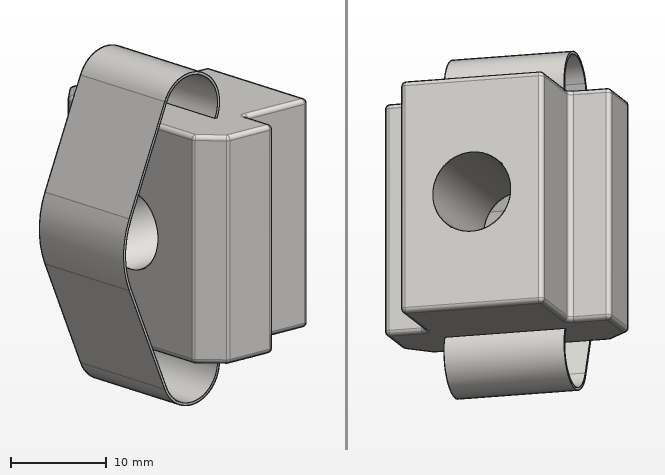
import cadquery as cq
import math

BLOCK_HEIGHT = 24.85
HEAD_WIDTH = 24.7
STEM_WIDTH = 15.55
BLOCK_DEPTH = 17.92
STEM_DEPTH = 9.0
CHAMFER = 2.6
EDGE_RADIUS = 0.5
HOLE_DIAMETER = 8.5

SPRING_HEIGHT = 36.2
SPRING_WIDTH = 13.1
STRIP_THICKNESS = 0.3
NOSE_RADIUS = 10.0
LOOP_RADIUS = 4.02
NOSE_REACH = 6.9
LOOP_SETBACK = 2.57
LOOP_END_ANGLE = math.radians(210)

nose_y = NOSE_RADIUS - NOSE_REACH
loop_y = LOOP_SETBACK
loop_z = SPRING_HEIGHT / 2 - LOOP_RADIUS

centre_distance = math.hypot(nose_y - loop_y, loop_z)
centre_angle = math.atan2(loop_z, nose_y - loop_y)
leg_angle = centre_angle - math.acos((NOSE_RADIUS - LOOP_RADIUS) / centre_distance)


def make_block():
    half_head = HEAD_WIDTH / 2
    half_stem = STEM_WIDTH / 2
    shoulder_y = BLOCK_DEPTH - STEM_DEPTH
    right_side = [
        (half_head - CHAMFER, 0),
        (half_head, CHAMFER),
        (half_head, shoulder_y),
        (half_stem, shoulder_y),
        (half_stem, BLOCK_DEPTH),
    ]
    left_side = [(-x, y) for x, y in reversed(right_side)]
    block = (
        cq.Workplane("XY")
        .polyline(right_side + left_side)
        .close()
        .extrude(BLOCK_HEIGHT / 2, both=True)
        .edges()
        .fillet(EDGE_RADIUS)
    )
    hole = (
        cq.Workplane("XZ")
        .circle(HOLE_DIAMETER / 2)
        .extrude(-BLOCK_DEPTH)
    )
    return block.cut(hole)


def arc_point(centre_y, centre_z, radius, angle):
    """Point on an arc in the YZ plane; the angle turns from -Y toward +Z."""
    return (centre_y - radius * math.cos(angle), centre_z + radius * math.sin(angle))


def make_spring():
    def nose(angle, inset):
        return arc_point(nose_y, 0, NOSE_RADIUS - inset, angle)

    def loop(angle, inset):
        return arc_point(loop_y, loop_z, LOOP_RADIUS - inset, angle)

    def mirrored(point):
        return (point[0], -point[1])

    loop_mid_angle = (leg_angle + LOOP_END_ANGLE) / 2
    inner = STRIP_THICKNESS
    outline = (
        cq.Workplane("YZ")
        .moveTo(*loop(LOOP_END_ANGLE, 0))
        .threePointArc(loop(loop_mid_angle, 0), loop(leg_angle, 0))
        .lineTo(*nose(leg_angle, 0))
        .threePointArc(nose(0, 0), nose(-leg_angle, 0))
        .lineTo(*mirrored(loop(leg_angle, 0)))
        .threePointArc(mirrored(loop(loop_mid_angle, 0)), mirrored(loop(LOOP_END_ANGLE, 0)))
        .lineTo(*mirrored(loop(LOOP_END_ANGLE, inner)))
        .threePointArc(mirrored(loop(loop_mid_angle, inner)), mirrored(loop(leg_angle, inner)))
        .lineTo(*nose(-leg_angle, inner))
        .threePointArc(nose(0, inner), nose(leg_angle, inner))
        .lineTo(*loop(leg_angle, inner))
        .threePointArc(loop(loop_mid_angle, inner), loop(LOOP_END_ANGLE, inner))
        .close()
    )
    return outline.extrude(SPRING_WIDTH / 2, both=True)


result = make_block().union(make_spring())